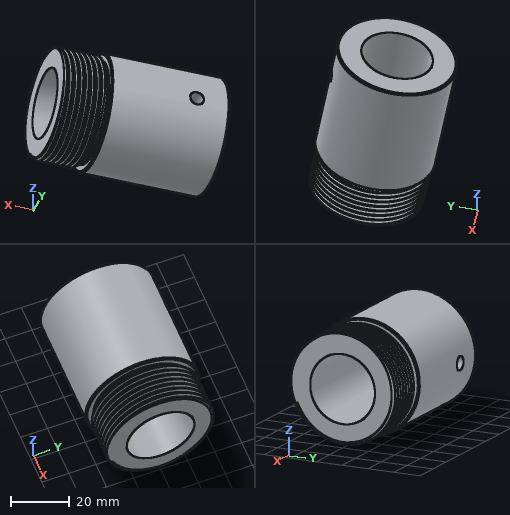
import cadquery as cq
import math

LENGTH = 60.0
BODY_RADIUS = 21.0
BODY_LENGTH = 43.2
BODY_CHAMFER = 0.5
BORE_RADIUS = 12.5

GROOVE_RADIUS = 17.85
GROOVE_CHAMFER = 0.5
THREAD_START = 45.2

THREAD_RADIUS = 20.0
PITCH = 2.0
THREAD_ANGLE = 60.0
CREST_FLAT = PITCH / 8
ROOT_FLAT = PITCH / 4
CREST_OFFSET = 0.5

SIDE_HOLE_DIAMETER = 5.0
SIDE_HOLE_X = 12.0

CUT_CLEARANCE = 0.2
EXTRA_TURNS = 3
SEAM_TURN = 90.0


def make_body():
    """Plain body with chamfered rims and the relief neck, revolved about X."""
    rim_radius = BODY_RADIUS - BODY_CHAMFER
    profile = (
        cq.Workplane("XZ")
        .moveTo(0, 0)
        .lineTo(0, rim_radius)
        .lineTo(BODY_CHAMFER, BODY_RADIUS)
        .lineTo(BODY_LENGTH - BODY_CHAMFER, BODY_RADIUS)
        .lineTo(BODY_LENGTH, rim_radius)
        .lineTo(BODY_LENGTH, GROOVE_RADIUS + GROOVE_CHAMFER)
        .lineTo(BODY_LENGTH + GROOVE_CHAMFER, GROOVE_RADIUS)
        .lineTo(THREAD_START, GROOVE_RADIUS)
        .lineTo(THREAD_START, 0)
        .close()
    )
    return profile.revolve(360, (0, 0, 0), (1, 0, 0))


def make_thread():
    """Threaded end: a cylinder with one helical V groove cut along it."""
    thread_length = LENGTH - THREAD_START
    flank_slope = math.tan(math.radians(THREAD_ANGLE / 2))
    thread_depth = (PITCH - CREST_FLAT - ROOT_FLAT) / 2 / flank_slope
    root_radius = THREAD_RADIUS - thread_depth
    cutter_radius = THREAD_RADIUS + CUT_CLEARANCE
    half_root = ROOT_FLAT / 2
    half_mouth = half_root + (cutter_radius - root_radius) * flank_slope

    first_groove = CREST_OFFSET - PITCH / 2 - PITCH
    helix_length = thread_length + EXTRA_TURNS * PITCH
    helix = cq.Wire.makeHelix(PITCH, helix_length, root_radius, cq.Vector(0, 0, first_groove))
    cutter = (
        cq.Workplane("XZ")
        .polyline([
            (root_radius, first_groove - half_root),
            (cutter_radius, first_groove - half_mouth),
            (cutter_radius, first_groove + half_mouth),
            (root_radius, first_groove + half_root),
        ])
        .close()
        .sweep(cq.Workplane(helix), isFrenet=True)
    )

    cylinder = cq.Workplane("XY").circle(THREAD_RADIUS).extrude(thread_length)
    thread = cylinder.rotate((0, 0, 0), (0, 0, 1), SEAM_TURN).cut(cutter)

    thread = thread.rotate((0, 0, 0), (0, 0, 1), 180).rotate((0, 0, 0), (0, 1, 0), 90)
    return thread.translate((THREAD_START, 0, 0))


def make_bore():
    return cq.Workplane("YZ").circle(BORE_RADIUS).extrude(LENGTH)


def make_side_hole():
    return (
        cq.Workplane("XZ")
        .center(SIDE_HOLE_X, 0)
        .circle(SIDE_HOLE_DIAMETER / 2)
        .extrude(-BODY_RADIUS)
    )


sleeve = make_body().union(make_thread()).cut(make_bore()).cut(make_side_hole())
result = sleeve.solids()